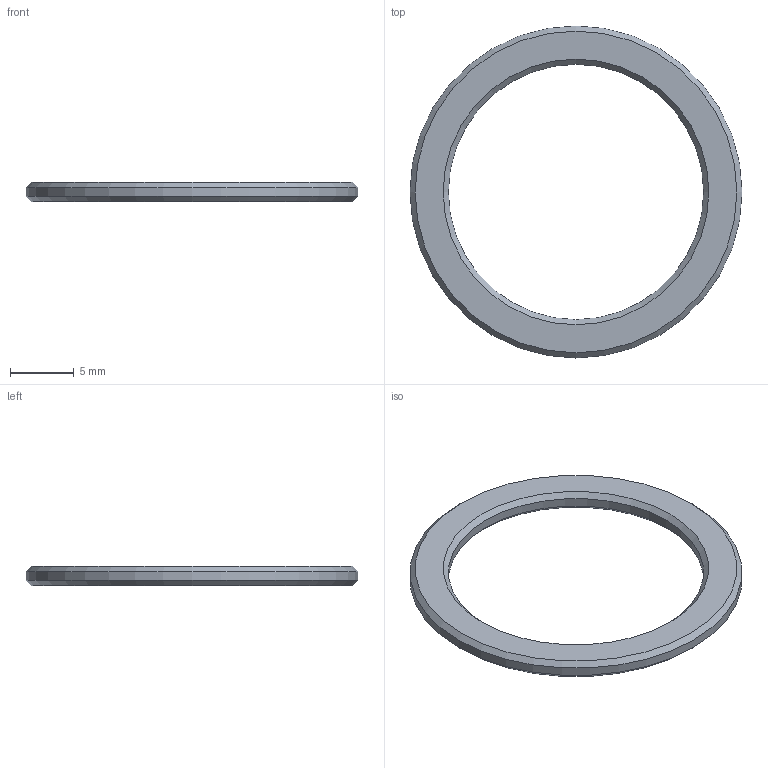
import cadquery as cq

outer_diameter = 26.0
inner_diameter = 20.0
thickness = 1.5
edge_chamfer = 0.4


def plain_ring():
    """Flat ring with square edges."""
    return (
        cq.Workplane("XY")
        .circle(outer_diameter / 2)
        .circle(inner_diameter / 2)
        .extrude(thickness)
    )


def chamfer_rims(ring):
    """Bevel the outer and inner rims of both flat faces."""
    return ring.faces("<Z or >Z").edges().chamfer(edge_chamfer)


result = chamfer_rims(plain_ring())